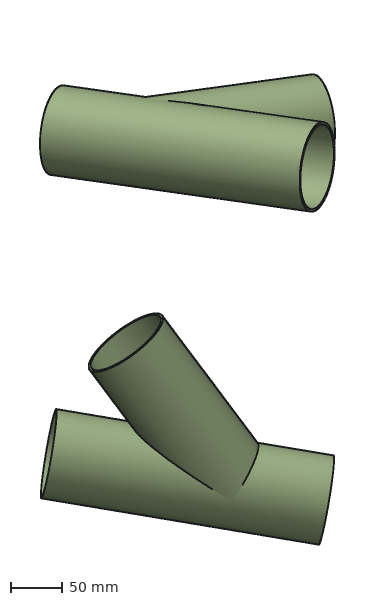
import cadquery as cq
import math

OUTER_DIAMETER = 88.9
INNER_DIAMETER = 83.7
RUN_LENGTH = 276.0
BRANCH_LENGTH = 182.3
BRANCH_ANGLE = 45.0

JUNCTION_TO_INLET = RUN_LENGTH - BRANCH_LENGTH


def run_cylinder(diameter):
    """Cylinder along X over the full run, with the junction at the origin."""
    return (
        cq.Workplane("YZ", origin=(-JUNCTION_TO_INLET, 0, 0))
        .circle(diameter / 2)
        .extrude(RUN_LENGTH)
    )


def branch_cylinder(diameter):
    """Cylinder from the junction along the inclined branch axis."""
    angle = math.radians(BRANCH_ANGLE)
    axis = (math.cos(angle), math.sin(angle), 0)
    plane = cq.Plane(origin=(0, 0, 0), xDir=(0, 0, 1), normal=axis)
    return cq.Workplane(plane).circle(diameter / 2).extrude(BRANCH_LENGTH)


def wye(diameter):
    """Run and branch of one diameter joined into a single body."""
    return run_cylinder(diameter).union(branch_cylinder(diameter))


result = wye(OUTER_DIAMETER).cut(wye(INNER_DIAMETER))